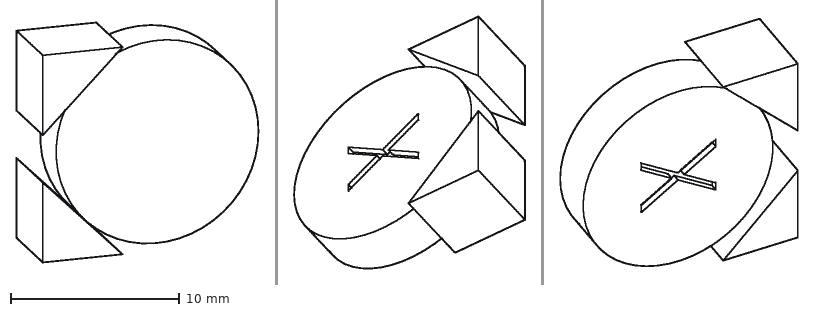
import cadquery as cq

total_length = 13.85
total_height = 12.96

disc_radius = 6.35
disc_thickness = 3.0

wedge_leg = 5.0
wedge_width = 5.0
wedge_outer_y = disc_radius - total_length
wedge_outer_z = total_height / 2

arm_back_y = 2.45
arm_front_y = -2.53
arm_slope = 0.64
arm_height = 0.53
recess_depth = 0.5


def make_recess_arm(direction):
    """Slanted bar of the cross, rising (1) or falling (-1) towards +Y."""
    front_z = direction * arm_slope * arm_front_y
    back_z = direction * arm_slope * arm_back_y
    half_height = arm_height / 2
    return (
        cq.Workplane("YZ", origin=(-disc_thickness / 2, 0, 0))
        .moveTo(arm_front_y, front_z - half_height)
        .lineTo(arm_back_y, back_z - half_height)
        .lineTo(arm_back_y, back_z + half_height)
        .lineTo(arm_front_y, front_z + half_height)
        .close()
        .extrude(recess_depth)
    )


def make_disc():
    """Round disc with a shallow cross recess."""
    blank = (
        cq.Workplane("YZ", origin=(-disc_thickness / 2, 0, 0))
        .circle(disc_radius)
        .extrude(disc_thickness)
    )
    cross = make_recess_arm(1).union(make_recess_arm(-1), clean=True)
    return blank.cut(cross)


def make_wedge(side):
    """Wedge above (1) or below (-1) the axis, its sloping face turned to the disc rim."""
    outer_z = side * wedge_outer_z
    return (
        cq.Workplane("YZ")
        .moveTo(wedge_outer_y, outer_z)
        .lineTo(wedge_outer_y + wedge_leg, outer_z)
        .lineTo(wedge_outer_y, outer_z - side * wedge_leg)
        .close()
        .extrude(wedge_width / 2, both=True)
    )


disc = make_disc()
wedges = [make_wedge(side) for side in (1, -1)]

result = cq.Compound.makeCompound([disc.val(), *[wedge.val() for wedge in wedges]])